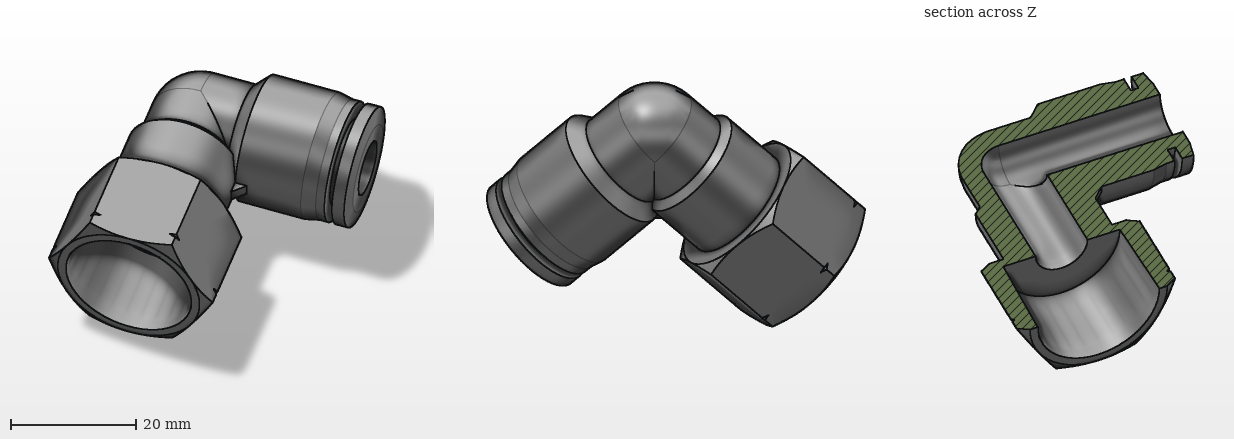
import cadquery as cq
import math


elbow_radius = 8.25
passage_radius = 4.5

body_radius = 10.5
body_start = 9.5
body_end = 20.5
nose_radius = 10.0
nose_start = 22.9
nose_end = 24.4
neck_radius = 7.3
flange_start = 25.65
flange_edge = 27.7
tube_end = 28.25
end_face_radius = 7.3

collar_radius = 9.5
collar_start = 7.9
nut_start = 18.85
nut_end = 45.5 - body_radius
nut_flats = 24.0
nut_chamfer_angle = math.radians(30)
nut_corner_radius = nut_flats / math.sqrt(3)

groove_place = 31.9
groove_width = 0.55
groove_root_radius = 13.35

socket_mouth_radius = 10.6
socket_floor_radius = 10.15
socket_depth = 14.55

web_thickness = 2.0
web_reach = 1.9


def turned_x(points):
    """Revolve an (x, radius) profile about the X axis."""
    return cq.Workplane("XY").polyline(points).close().revolve(360, (0, 0, 0), (1, 0, 0))


def turned_y(points):
    """Revolve a (radius, distance towards -Y) profile about the Y axis."""
    outline = [(radius, -distance) for radius, distance in points]
    return cq.Workplane("XY").polyline(outline).close().revolve(360, (0, 0, 0), (0, 1, 0))


def elbow_channel(radius, x_length, y_length):
    """Two cylinders meeting in a ball at the origin."""
    along_x = cq.Workplane("YZ").circle(radius).extrude(x_length)
    along_y = cq.Workplane("XZ").circle(radius).extrude(y_length)
    return along_x.union(along_y).union(cq.Workplane("XY").sphere(radius))


def tube_leg():
    shoulder_start = body_start - (body_radius - elbow_radius)
    return turned_x([
        (shoulder_start, 0),
        (shoulder_start, elbow_radius),
        (body_start, body_radius),
        (body_end, body_radius),
        (nose_start, nose_radius),
        (nose_end, nose_radius),
        (nose_end, neck_radius),
        (flange_start, neck_radius),
        (flange_start, nose_radius),
        (flange_edge, nose_radius),
        (tube_end, end_face_radius),
        (tube_end, 0),
    ])


def collar():
    shoulder_start = collar_start - (collar_radius - elbow_radius)
    return turned_y([
        (0, shoulder_start),
        (elbow_radius, shoulder_start),
        (collar_radius, collar_start),
        (collar_radius, nut_start),
        (0, nut_start),
    ])


def nut():
    hexagon = (
        cq.Workplane("XZ", origin=(0, -nut_start, 0))
        .polygon(6, 2 * nut_corner_radius)
        .extrude(nut_end - nut_start)
    )
    face_radius = nut_flats / 2
    outer_radius = nut_corner_radius + 0.45
    chamfer_drop = (outer_radius - face_radius) * math.tan(nut_chamfer_angle)
    envelope = turned_y([
        (0, nut_start),
        (face_radius, nut_start),
        (outer_radius, nut_start + chamfer_drop),
        (outer_radius, nut_end - chamfer_drop),
        (face_radius, nut_end),
        (0, nut_end),
    ])
    slope = groove_width / 2 / (nut_corner_radius - groove_root_radius)
    half_opening = slope * (outer_radius - groove_root_radius)
    groove = turned_y([
        (groove_root_radius, groove_place),
        (outer_radius, groove_place - half_opening),
        (outer_radius, groove_place + half_opening),
    ])
    return hexagon.intersect(envelope).cut(groove)


def corner_web():
    """Triangular web with a 45 degree edge joining the two legs."""
    return (
        cq.Workplane("XY")
        .polyline([
            (elbow_radius, -elbow_radius),
            (body_start + web_reach, -elbow_radius),
            (body_start + web_reach, -body_radius),
            (collar_radius, -body_radius - web_reach),
            (elbow_radius, -body_radius - web_reach),
        ])
        .close()
        .extrude(web_thickness / 2, both=True)
    )


def socket():
    return turned_y([
        (0, nut_end - socket_depth),
        (socket_floor_radius, nut_end - socket_depth),
        (socket_mouth_radius, nut_end),
        (0, nut_end),
    ])


outside = (
    elbow_channel(elbow_radius, body_start, collar_start)
    .union(tube_leg())
    .union(collar())
    .union(nut())
    .union(corner_web())
)
result = outside.cut(socket()).cut(elbow_channel(passage_radius, tube_end, nut_end))